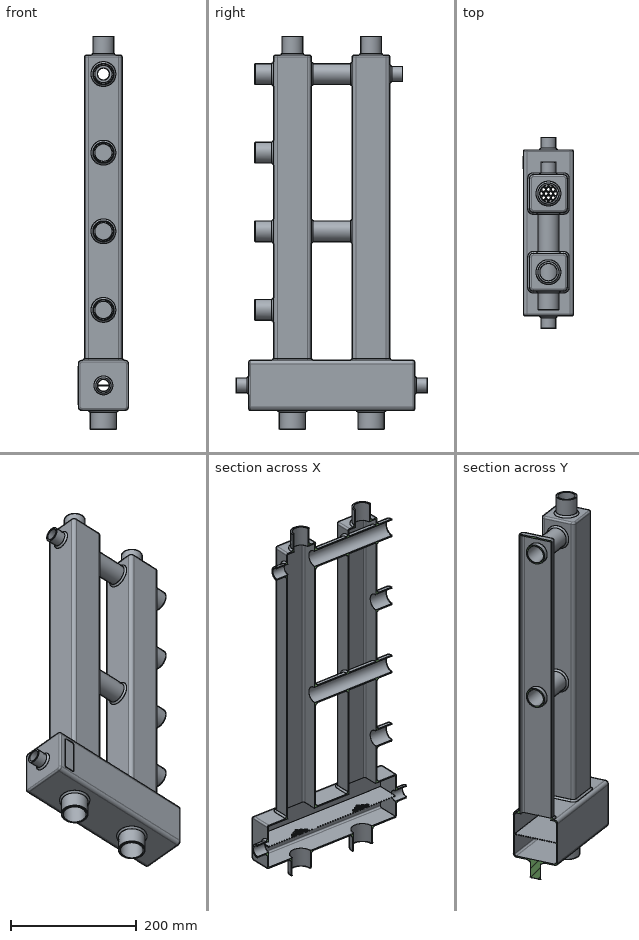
import cadquery as cq
import math

WALL = 3.0
TUBE_CORNER = 2 * WALL
CAP_ROUND = 3.0
WELD = 3.0

BASE_SIDE = 80.0
BASE_LENGTH = 264.0

TOWER_SIDE = 60.0
TOWER_HEIGHT = 485.0
TOWER_PITCH = 125.0

OUTLET_OD = 33.5
OUTLET_ID = OUTLET_OD - 2 * WALL
INLET_OD = 42.3
INLET_ID = INLET_OD - 2 * WALL
PORT_OD = 24.0
PORT_ID = 18.63
PIPE_BEVEL = 1.0
PLAIN_END = 0.0
PIPE_LENGTH = 30.0
PORT_LENGTH = 20.0

OUTLET_COUNT = 4
OUTLET_PITCH = 125.0
TOP_OUTLET_DROP = 30.0

PLATE_THICKNESS = 2.0
PERFORATION = 6.0
PERFORATION_PITCH = 7.5
PERFORATED_FIELD = INLET_ID

BADGE_WIDTH = 19.0
BADGE_HEIGHT = 60.0
BADGE_THICKNESS = 0.55
BADGE_CORNER = 3.0
BADGE_MARGIN = 10.5

BASE_BOTTOM = PIPE_LENGTH
BASE_MIDDLE = BASE_BOTTOM + BASE_SIDE / 2
BASE_TOP = BASE_BOTTOM + BASE_SIDE
TOWER_TOP = BASE_TOP + TOWER_HEIGHT
FRONT_Y = -TOWER_PITCH / 2
REAR_Y = TOWER_PITCH / 2
FRONT_FACE = FRONT_Y - TOWER_SIDE / 2
REAR_FACE = REAR_Y + TOWER_SIDE / 2
OUTLET_LEVELS = [TOWER_TOP - TOP_OUTLET_DROP - i * OUTLET_PITCH for i in range(OUTLET_COUNT)]
CROSSING_LEVELS = OUTLET_LEVELS[::2]

FORWARD = (0, -1, 0)
BACKWARD = (0, 1, 0)
UP = (0, 0, 1)
DOWN = (0, 0, -1)


def cylinder(start, direction, length, diameter):
    """Solid round bar from a start point along a direction."""
    return cq.Workplane(cq.Solid.makeCylinder(
        diameter / 2, length, cq.Vector(*start), cq.Vector(*direction)))


def weld_ring(start, direction, diameter):
    """Conical weld around a pipe where it leaves a flat face."""
    return cq.Workplane(cq.Solid.makeCone(
        diameter / 2 + WELD, diameter / 2, WELD, cq.Vector(*start), cq.Vector(*direction)))


def welded_pipe(start, direction, length, diameter, bevel):
    """Solid pipe body with the weld at its foot and an optional bevel on its free end."""
    body = cylinder(start, direction, length, diameter)
    if bevel:
        free_end = cq.Vector(*start) + cq.Vector(*direction) * length
        body = body.edges(cq.selectors.NearestToPointSelector(free_end.toTuple())).chamfer(bevel)
    return body.union(weld_ring(start, direction, diameter))


def base_body():
    """Outer shape of the base tube with rounded end caps."""
    body = cq.Workplane("XY").box(BASE_SIDE, BASE_LENGTH, BASE_SIDE)
    body = body.edges("|Y").fillet(TUBE_CORNER)
    body = body.faces("<Y or >Y").edges().fillet(CAP_ROUND)
    return body.translate((0, 0, BASE_MIDDLE))


def base_chamber(z_from, z_to):
    """Space inside the base tube between two levels."""
    inner = BASE_SIDE - 2 * WALL
    tube = cq.Workplane("XY").box(inner, BASE_LENGTH - 2 * WALL, inner)
    tube = tube.edges("|Y").fillet(TUBE_CORNER - WALL).translate((0, 0, BASE_MIDDLE))
    slab = cq.Workplane("XY").box(BASE_SIDE, BASE_LENGTH, z_to - z_from, centered=(True, True, False))
    return tube.intersect(slab.translate((0, 0, z_from)))


def square_bar(side, corner, y, z_from, z_to):
    """Upright square bar with rounded corners."""
    bar = cq.Workplane("XY", origin=(0, y, z_from)).rect(side, side).extrude(z_to - z_from)
    return bar.edges("|Z").fillet(corner)


def tower_body(y):
    """Capped tower with the weld round its foot, rooted in the wall of the base."""
    tower = square_bar(TOWER_SIDE, TUBE_CORNER, y, BASE_TOP, TOWER_TOP)
    tower = tower.faces(">Z").edges().fillet(CAP_ROUND)
    foot = square_bar(TOWER_SIDE + 2 * WELD, TUBE_CORNER + WELD, y, BASE_TOP - WELD, BASE_TOP + WELD)
    weld = foot.faces(">Z").chamfer(WELD)
    return tower.union(weld)


def tower_chamber(y):
    """Space inside a tower, open to the base below."""
    return square_bar(TOWER_SIDE - 2 * WALL, TUBE_CORNER - WALL, y, BASE_TOP - WALL, TOWER_TOP - WALL)


def crossing_pipe(level):
    """Pipe from the rear tower through the front tower up to its outlet."""
    start = (0, REAR_Y - TOWER_SIDE / 2 + WALL, level)
    return cylinder(start, FORWARD, start[1] - FRONT_FACE, OUTLET_OD)


def perforations(y):
    """Triangular grid of holes through the dividing plate below one tower."""
    row_pitch = PERFORATION_PITCH * math.sqrt(3) / 2
    reach = int(PERFORATED_FIELD / PERFORATION_PITCH)
    points = []
    for row in range(-reach, reach + 1):
        offset = PERFORATION_PITCH / 2 if row % 2 == 0 else 0
        for column in range(-reach, reach + 1):
            px = column * PERFORATION_PITCH + offset
            py = row * row_pitch
            if math.hypot(px, py) + PERFORATION / 2 <= PERFORATED_FIELD / 2:
                points.append((px, py))
    plane = cq.Workplane("XY", origin=(0, y, BASE_MIDDLE - PLATE_THICKNESS))
    return plane.pushPoints(points).circle(PERFORATION / 2).extrude(2 * PLATE_THICKNESS)


def badge():
    """Plain name plate, rooted in the wall of the base."""
    depth = BADGE_THICKNESS + WALL / 2
    y = BASE_LENGTH / 2 - BADGE_MARGIN - BADGE_WIDTH / 2
    plate = cq.Workplane("XY").box(depth, BADGE_WIDTH, BADGE_HEIGHT, centered=(False, True, True))
    plate = plate.edges("|X").fillet(BADGE_CORNER)
    return plate.translate((-BASE_SIDE / 2 - BADGE_THICKNESS, y, BASE_MIDDLE))


result = base_body().union(badge())
for tower_y in (FRONT_Y, REAR_Y):
    result = result.union(tower_body(tower_y))

result = result.cut(base_chamber(BASE_BOTTOM, BASE_MIDDLE - PLATE_THICKNESS / 2))
result = result.cut(base_chamber(BASE_MIDDLE + PLATE_THICKNESS / 2, BASE_TOP))
for tower_y in (FRONT_Y, REAR_Y):
    result = result.cut(tower_chamber(tower_y))
    result = result.cut(perforations(tower_y))

pipes = []
for tower_y in (FRONT_Y, REAR_Y):
    pipes.append(((0, tower_y, TOWER_TOP), UP, PIPE_LENGTH, OUTLET_OD, OUTLET_ID, PLAIN_END))
    pipes.append(((0, tower_y, BASE_BOTTOM), DOWN, PIPE_LENGTH, INLET_OD, INLET_ID, PIPE_BEVEL))
for outlet_level in OUTLET_LEVELS:
    pipes.append(((0, FRONT_FACE, outlet_level), FORWARD, PIPE_LENGTH, OUTLET_OD, OUTLET_ID, PIPE_BEVEL))
pipes.append(((0, REAR_FACE, OUTLET_LEVELS[0]), BACKWARD, PORT_LENGTH, PORT_OD, PORT_ID, PLAIN_END))
pipes.append(((0, -BASE_LENGTH / 2, BASE_MIDDLE), FORWARD, PORT_LENGTH, PORT_OD, PORT_ID, PLAIN_END))
pipes.append(((0, BASE_LENGTH / 2, BASE_MIDDLE), BACKWARD, PORT_LENGTH, PORT_OD, PORT_ID, PLAIN_END))

for start, direction, length, outer, inner, bevel in pipes:
    result = result.union(welded_pipe(start, direction, length, outer, bevel))
for crossing_level in CROSSING_LEVELS:
    result = result.union(crossing_pipe(crossing_level))
    for weld_y, weld_direction in (
        (FRONT_Y + TOWER_SIDE / 2, BACKWARD),
        (REAR_Y - TOWER_SIDE / 2, FORWARD),
    ):
        result = result.union(weld_ring((0, weld_y, crossing_level), weld_direction, OUTLET_OD))

for start, direction, length, outer, inner, bevel in pipes:
    inside = tuple(s - d * WALL for s, d in zip(start, direction))
    result = result.cut(cylinder(inside, direction, length + WALL, inner))
for crossing_level in CROSSING_LEVELS:
    bore_start = (0, REAR_Y, crossing_level)
    result = result.cut(cylinder(bore_start, FORWARD, REAR_Y - FRONT_FACE, OUTLET_ID))